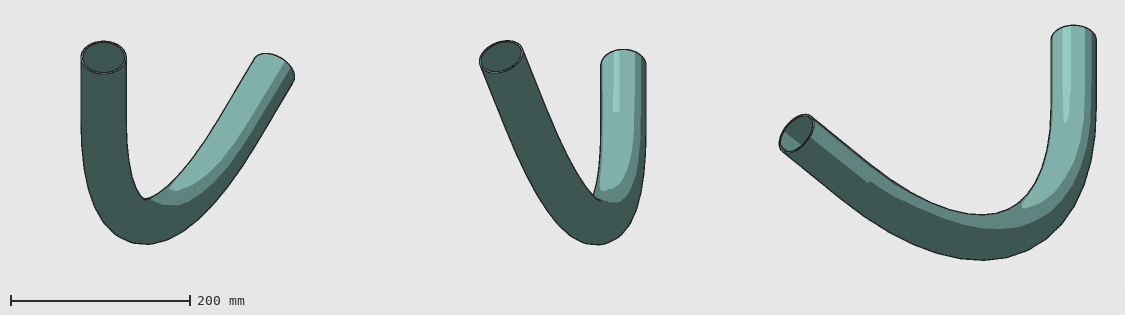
import cadquery as cq
import math

outer_diameter = 50.8
inner_diameter = 46.58

leg_length = 101.6
bend_radius = 381.0

leg_end = bend_radius + leg_length
bend_middle = bend_radius * (1 - math.sin(math.radians(45)))


def centreline():
    """Path from the top of the vertical leg, round the bend, to the far end of the horizontal leg."""
    return (
        cq.Workplane("YZ")
        .moveTo(0, leg_end)
        .lineTo(0, bend_radius)
        .threePointArc((bend_middle, bend_middle), (bend_radius, 0))
        .lineTo(leg_end, 0)
    )


def bent_tube():
    """Ring section swept along the centreline, open at both ends."""
    ring = (
        cq.Workplane("XY", origin=(0, 0, leg_end))
        .circle(outer_diameter / 2)
        .circle(inner_diameter / 2)
    )
    return ring.sweep(centreline())


result = bent_tube()